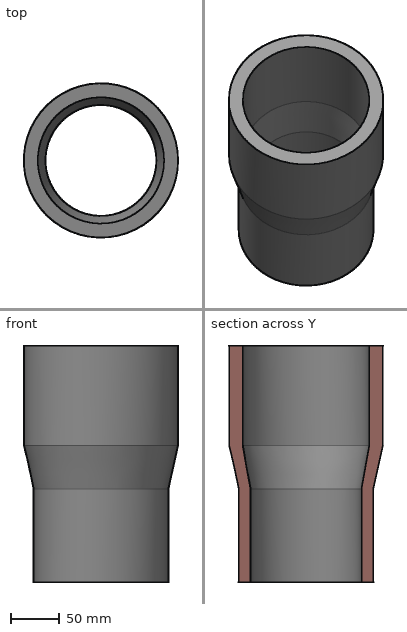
import cadquery as cq

large_diameter = 160.0
large_wall = 14.6
small_diameter = 140.0
small_wall = 12.7

small_length = 97.0
taper_length = 45.0
total_length = 245.0

taper_top = small_length + taper_length


def reducer_solid(bottom_radius, top_radius):
    """Solid of revolution: straight end, taper, straight end."""
    return (
        cq.Workplane("XZ")
        .lineTo(bottom_radius, 0)
        .lineTo(bottom_radius, small_length)
        .lineTo(top_radius, taper_top)
        .lineTo(top_radius, total_length)
        .lineTo(0, total_length)
        .close()
        .revolve(360, (0, 0, 0), (0, 1, 0))
    )


small_radius = small_diameter / 2
large_radius = large_diameter / 2

body = reducer_solid(small_radius, large_radius)
bore = reducer_solid(small_radius - small_wall, large_radius - large_wall)

result = body.cut(bore)